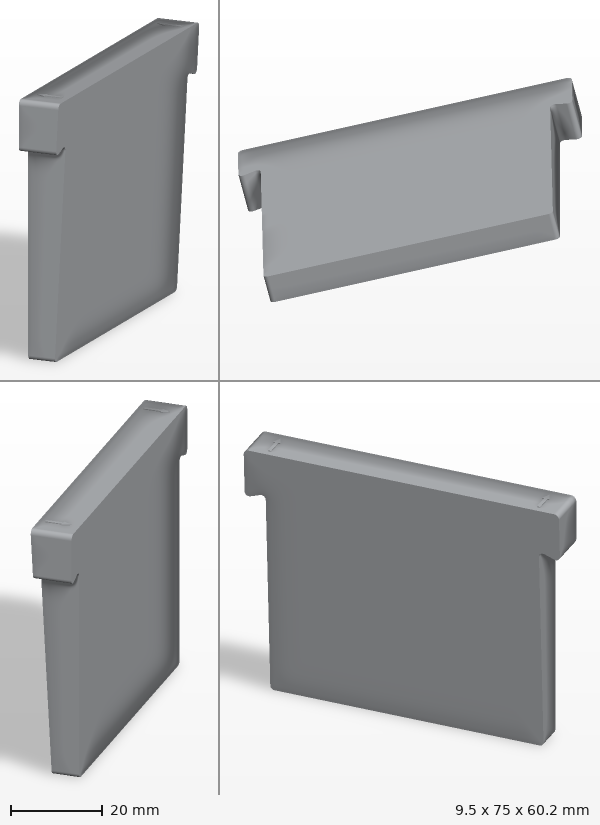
import cadquery as cq
import math

height = 60.0
head_width = 75.0
body_width = 65.0
top_thickness = 9.5
taper_angle = 3.0

hook_tip_z = 47.9
hook_angle = 20.0

top_radius = 1.2
edge_radius = 1.0

arrow_height = 0.2
arrow_tip_x = 2.0
arrow_tail_x = 8.0
arrow_head_length = 2.0
arrow_head_width = 1.8
arrow_shaft_width = 0.8
arrow_offset_y = 32.0

bottom_thickness = top_thickness - height * math.tan(math.radians(taper_angle))
half_head = head_width / 2
half_body = body_width / 2
hook_root_z = hook_tip_z + (half_head - half_body) * math.tan(math.radians(hook_angle))


def make_t_plate():
    """T-shaped outline in the YZ plane, extruded along X, with rounded corners."""
    right_half = [
        (half_body, 0),
        (half_body, hook_root_z),
        (half_head, hook_tip_z),
        (half_head, height),
    ]
    left_half = [(-y, z) for y, z in reversed(right_half)]
    plate = cq.Workplane("YZ").polyline(right_half + left_half).close().extrude(top_thickness)
    plate = plate.edges("|X").edges("not >Z").fillet(edge_radius)
    return plate.edges("|X").edges(">Z").fillet(top_radius)


def make_wedge():
    """Tapered side profile in the XZ plane, spanning the full head width."""
    profile = [(0, 0), (bottom_thickness, 0), (top_thickness, height), (0, height)]
    return cq.Workplane("XZ").polyline(profile).close().extrude(half_head, both=True)


def make_arrow(center_y):
    """Raised arrow on the top face; its base sits on the face."""
    head_base_x = arrow_tip_x + arrow_head_length
    half_arrow_head = arrow_head_width / 2
    half_shaft = arrow_shaft_width / 2
    outline = [
        (arrow_tip_x, 0),
        (head_base_x, half_arrow_head),
        (head_base_x, half_shaft),
        (arrow_tail_x, half_shaft),
        (arrow_tail_x, -half_shaft),
        (head_base_x, -half_shaft),
        (head_base_x, -half_arrow_head),
    ]
    top_plane = cq.Workplane("XY", origin=(0, center_y, height))
    return top_plane.polyline(outline).close().extrude(arrow_height)


result = make_t_plate().intersect(make_wedge())
for side in (-1, 1):
    result = result.union(make_arrow(side * arrow_offset_y))